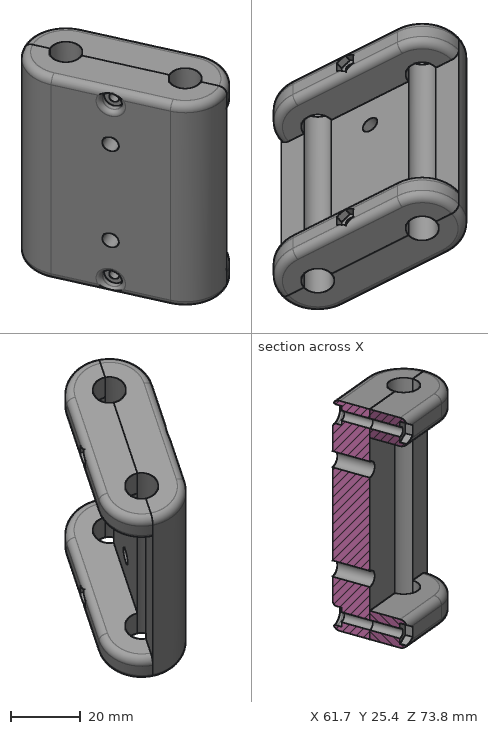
import cadquery as cq
import math

height = 73.8
width = 61.7
depth = 25.4
edge_radius = 2.5
half_depth = depth / 2

bore_diameter = 9.5
bore_spacing = width - depth

clamp_height = 9.3
clamp_centre_z = (height - clamp_height) / 2

screw_diameter = 3.0
head_diameter = 6.0
mouth_radius = 1.5
head_depth = 3.0
nut_recess_depth = 2.5
nut_across_corners = 6.6

mount_diameter = 5.0
mount_spacing = 35.0


def rounded_slab(slab_height, centre_z):
    """Stadium-shaped slab with rounded rims and both rod bores."""
    slab = (
        cq.Workplane("XY")
        .workplane(offset=centre_z - slab_height / 2)
        .slot2D(width, depth)
        .extrude(slab_height)
        .faces("<Z or >Z")
        .edges()
        .fillet(edge_radius)
    )
    bores = (
        cq.Workplane("XY")
        .workplane(offset=centre_z - slab_height / 2)
        .pushPoints([(-bore_spacing / 2, 0), (bore_spacing / 2, 0)])
        .circle(bore_diameter / 2)
        .extrude(slab_height)
    )
    return slab.cut(bores)


def half_space(side):
    """Block filling the front (side = -1) or back (side = 1) of the split plane."""
    return cq.Workplane("XY").box(width, half_depth, height).translate((0, side * half_depth / 2, 0))


def cylinder_y(diameter, start_y, length, z):
    """Cylinder running toward +Y from start_y, on the middle of the width."""
    return cq.Workplane(cq.Solid.makeCylinder(diameter / 2, length, cq.Vector(0, start_y, z), cq.Vector(0, 1, 0)))


def screw_head_recess(z):
    """Flat-bottomed seat for the screw head with a convex rounded mouth."""
    head_radius = head_diameter / 2
    mouth_bend = mouth_radius * math.sqrt(0.5)
    bend_centre_x = head_radius + mouth_radius
    bend_centre_y = -half_depth + mouth_radius
    return (
        cq.Workplane("XY", origin=(0, 0, z))
        .moveTo(0, -half_depth)
        .lineTo(bend_centre_x, -half_depth)
        .threePointArc((bend_centre_x - mouth_bend, bend_centre_y - mouth_bend), (head_radius, bend_centre_y))
        .lineTo(head_radius, -half_depth + head_depth)
        .lineTo(0, -half_depth + head_depth)
        .close()
        .revolve(360, (0, 0, 0), (0, 1, 0))
    )


def make_body():
    """Full-height front half with clamp screw and mounting holes."""
    body = rounded_slab(height, 0).intersect(half_space(-1))
    for side in (-1, 1):
        screw_z = side * clamp_centre_z
        body = body.cut(cylinder_y(screw_diameter, -half_depth, half_depth, screw_z))
        body = body.cut(screw_head_recess(screw_z))
        body = body.cut(cylinder_y(mount_diameter, -half_depth, half_depth, side * mount_spacing / 2))
    return body


def make_clamp(centre_z):
    """Short back half with a screw hole and a hexagonal nut recess in its back."""
    clamp = rounded_slab(clamp_height, centre_z).intersect(half_space(1))
    clamp = clamp.cut(cylinder_y(screw_diameter, 0, half_depth, centre_z))
    nut_recess = (
        cq.Workplane("XZ", origin=(0, half_depth, centre_z))
        .transformed(rotate=(0, 0, 90))
        .polygon(6, nut_across_corners)
        .extrude(nut_recess_depth)
    )
    return clamp.cut(nut_recess)


body = make_body()
clamps = [make_clamp(side * clamp_centre_z) for side in (-1, 1)]

result = cq.Compound.makeCompound([body.val(), *[clamp.val() for clamp in clamps]])